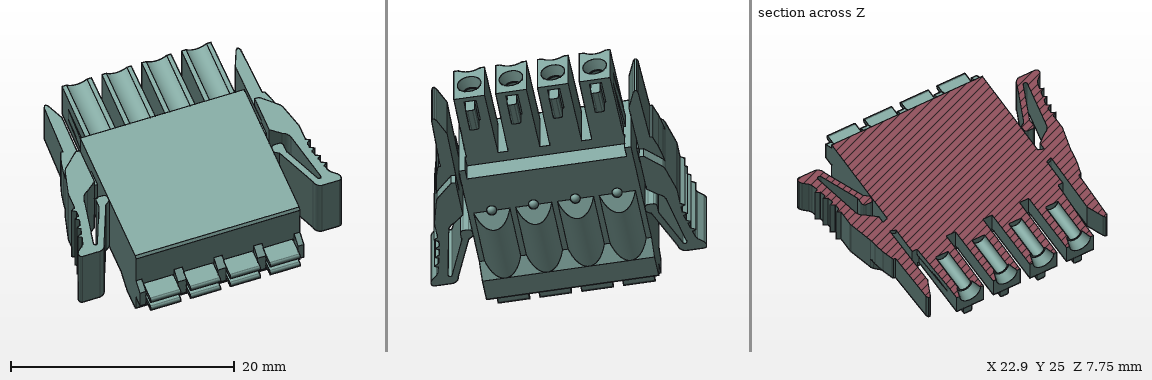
import cadquery as cq

total_length = 22.9
total_width = 25.04
total_height = 7.75

pitch = 3.8
contact_count = 4
contact_centres = [(i - (contact_count - 1) / 2) * pitch for i in range(contact_count)]

body_front = 6.62
body_back = 20.9
body_width = 15.65
body_floor = 0.9
back_edge_chamfer = 0.22
front_recess_width = 14.5
front_recess_depth = 1.0

socket_front_width = 2.8
socket_root_width = 2.9
socket_bottom = 2.8
socket_top = 6.9
groove_width = 1.95
groove_depth = 0.34
groove_radius = ((groove_width / 2) ** 2 + groove_depth ** 2) / (2 * groove_depth)
hole_axis_z = 4.73
hole_mouth_diameter = 2.15
hole_throat_diameter = 1.55
hole_bore_diameter = 1.25
hole_mouth_depth = 1.0
hole_depth = 5.0

key_front = 0.43
key_back = 2.63
key_width = 0.85
key_bottom = 1.42
key_round = 0.2
key_neck_width = 1.1
key_neck_height = 0.17

wedge_front = 1.4
wedge_start = contact_centres[-1] + socket_front_width / 2
wedge_peak = 7.33
wedge_inner = wedge_start - 0.2
wedge_bottom = 4.0
wedge_top = 5.52

ramp_run = 1.55
ledge_front = 17.05
funnel_front = 11.55
funnel_radius = 1.95
bump_x = 11.45
bump_radius = 0.45
bump_centre_z = 0.85

rib_reach = 1.02
root_overlap = back_edge_chamfer
rib_width = 0.8
outer_rib_width = 0.56
rib_bottom = 1.85
rib_low_top = 3.72
rib_high_top = 4.3
tab_width = 2.85
tab_thickness = 0.5
tab_nose_radius = 0.24
tab_levels = [2.17, 3.33]

latch_bottom = 0.95
arm_bottom = 2.05
arm_top = 6.65
lever_inner = 8.34
stub_bottom = 4.33
stub_top = 6.33
stub_root_front = 9.47
stub_root_back = 11.08
stub_taper = 0.2
ridge_height = 0.38
ridge_half_width = 0.23
ridge_feet = [(13.97, 11.02), (14.96, 11.07), (15.95, 11.24), (16.9, 11.5)]


def box(x0, x1, y0, y1, z0, z1):
    return cq.Workplane("XY").box(x1 - x0, y1 - y0, z1 - z0, centered=False).translate((x0, y0, z0))


def plate(outline, z0, z1):
    """Extrude a closed XY outline between two heights."""
    return cq.Workplane("XY").workplane(offset=z0).polyline(outline).close().extrude(z1 - z0)


def make_housing():
    half = body_width / 2
    profile = [
        (body_front, body_floor),
        (ledge_front, body_floor),
        (ledge_front + ramp_run, 0),
        (body_back - back_edge_chamfer, 0),
        (body_back, back_edge_chamfer),
        (body_back, total_height - back_edge_chamfer),
        (body_back - back_edge_chamfer, total_height),
        (body_front, total_height),
    ]
    housing = cq.Workplane("XZ").polyline(profile).close().extrude(half, both=True)
    recess = box(
        body_front, body_front + front_recess_depth,
        -front_recess_width / 2, front_recess_width / 2,
        body_floor, socket_bottom,
    )
    return housing.cut(recess)


def make_funnel(y):
    """Round wire funnel whose front end slopes back toward the underside."""
    cylinder = (
        cq.Workplane("YZ").workplane(offset=funnel_front)
        .center(y, funnel_radius).circle(funnel_radius)
        .extrude(ledge_front + ramp_run - funnel_front)
    )
    side = [
        (funnel_front, body_floor),
        (funnel_front + ramp_run, 0),
        (ledge_front + ramp_run, 0),
        (ledge_front + ramp_run, funnel_radius),
        (funnel_front, funnel_radius),
    ]
    envelope = (
        cq.Workplane("XZ", origin=(0, y, 0)).polyline(side).close()
        .extrude(funnel_radius, both=True)
    )
    bump = cq.Workplane("XY").sphere(bump_radius).translate((bump_x, y, bump_centre_z))
    return cylinder.intersect(envelope).union(bump)


def make_socket(y):
    front = socket_front_width / 2
    root = socket_root_width / 2
    root_x = body_front + front_recess_depth
    outline = [(0, y - front), (root_x, y - root), (root_x, y + root), (0, y + front)]
    socket = plate(outline, socket_bottom, socket_top)
    groove = (
        cq.Workplane("YZ").center(y, socket_top - groove_depth + groove_radius)
        .circle(groove_radius).extrude(body_front)
    )
    return socket.cut(groove)


def make_key(y):
    key = box(key_front, key_back, y - key_width / 2, y + key_width / 2, key_bottom, socket_bottom)
    key = key.edges("|X and <Z").fillet(key_round)
    neck_z = socket_bottom - key_neck_height
    neck_outline = [
        (y - key_width / 2, neck_z),
        (y + key_width / 2, neck_z),
        (y + key_neck_width / 2, socket_bottom),
        (y - key_neck_width / 2, socket_bottom),
    ]
    neck = (
        cq.Workplane("YZ").workplane(offset=key_front).polyline(neck_outline).close()
        .extrude(key_back - key_front)
    )
    return key.union(neck)


def make_contact_hole(y):
    """Tapered lead-in followed by a narrower blind bore, revolved about the contact axis."""
    half_section = [
        (0, 0),
        (0, hole_mouth_diameter / 2),
        (hole_mouth_depth, hole_throat_diameter / 2),
        (hole_mouth_depth, hole_bore_diameter / 2),
        (hole_depth, hole_bore_diameter / 2),
        (hole_depth, 0),
    ]
    hole = cq.Workplane("XY").polyline(half_section).close().revolve(360, (0, 0, 0), (1, 0, 0))
    return hole.translate((0, y, hole_axis_z))


def make_wedge():
    outline = [
        (wedge_front, wedge_start),
        (body_front, wedge_peak),
        (body_front, wedge_inner),
        (wedge_front, wedge_inner),
    ]
    return plate(outline, wedge_bottom, wedge_top)


def make_rib(y0, y1):
    rib_back = body_back + rib_reach
    profile = (
        cq.Workplane("XZ", origin=(0, y1, 0))
        .moveTo(body_back - root_overlap, rib_bottom)
        .lineTo(rib_back, rib_bottom)
        .lineTo(rib_back, rib_low_top)
        .lineTo(body_back, rib_high_top)
        .lineTo(body_back - root_overlap, rib_high_top)
        .close()
    )
    return profile.extrude(y1 - y0)


def make_tab(y, z):
    tab = box(
        body_back - root_overlap, total_length,
        y - tab_width / 2, y + tab_width / 2, z - tab_thickness / 2, z + tab_thickness / 2,
    )
    return tab.edges(">X and |Y").fillet(tab_nose_radius)


def make_latch():
    """Lever on the +Y side: locking arm, grip with ridges, and return spring."""
    tip_y = total_width / 2
    grip = (
        cq.Workplane("XY").workplane(offset=latch_bottom)
        .moveTo(7.9, lever_inner)
        .lineTo(11.62, lever_inner)
        .lineTo(12.4, 9.28)
        .threePointArc((12.62, 9.62), (13.05, 9.88))
        .lineTo(18.1, 10.84)
        .threePointArc((18.28, 10.73), (18.2, 10.5))
        .lineTo(14.4, 8.94)
        .lineTo(13.75, 8.94)
        .threePointArc((13.47, 8.86), (13.36, 8.66))
        .lineTo(13.36, 8.16)
        .threePointArc((13.44, 7.97), (13.6, 7.85))
        .lineTo(14.12, 7.85)
        .lineTo(14.42, 8.3)
        .lineTo(18.45, 9.97)
        .threePointArc((18.97, 10.25), (19.12, 10.6))
        .lineTo(19.12, 12.25)
        .threePointArc((19.03, 12.44), (18.82, tip_y))
        .lineTo(18.66, tip_y)
        .lineTo(18.4, 12.36)
        .lineTo(17.95, 11.86)
        .lineTo(17.7, 11.71)
        .lineTo(17.1, 11.55)
        .lineTo(14.9, 11.02)
        .lineTo(12.2, 11.02)
        .lineTo(12.02, 10.99)
        .lineTo(9.59, 10.38)
        .lineTo(9.35, 10.24)
        .lineTo(7.9, 8.75)
        .close()
        .extrude(total_height - latch_bottom)
    )
    arm_outline = [
        (1.47, 8.95), (1.27, 9.12), (1.3, 9.27), (1.54, 9.38), (6.7, 9.52), (6.7, 9.7), (6.82, 9.78),
        (7.9, 10.1), (8.96, 10.3), (9.59, 10.38), (9.59, lever_inner), (3.12, 8.26),
    ]
    latch = grip.union(plate(arm_outline, arm_bottom, arm_top))
    for x, foot in ridge_feet:
        ridge_outline = [
            (x - ridge_half_width, foot - ridge_height),
            (x - ridge_half_width, foot),
            (x, foot + ridge_height),
            (x + ridge_half_width, foot),
            (x + ridge_half_width, foot - ridge_height),
        ]
        latch = latch.union(plate(ridge_outline, latch_bottom, total_height))
    stub_outline = [
        (stub_root_front, body_width / 2),
        (stub_root_back, body_width / 2),
        (stub_root_back - stub_taper, lever_inner),
        (stub_root_front + stub_taper, lever_inner),
    ]
    return latch.union(plate(stub_outline, stub_bottom, stub_top))


result = make_housing()
for y in contact_centres:
    result = result.union(make_funnel(y)).union(make_socket(y)).union(make_key(y))
    for z in tab_levels:
        result = result.union(make_tab(y, z))

rib_centres = [(a + b) / 2 for a, b in zip(contact_centres, contact_centres[1:])]
for y in rib_centres:
    result = result.union(make_rib(y - rib_width / 2, y + rib_width / 2))

outer_rib = make_rib(body_width / 2 - outer_rib_width, body_width / 2)
for side_part in (outer_rib, make_wedge(), make_latch()):
    result = result.union(side_part).union(side_part.mirror("XZ"))

for y in contact_centres:
    result = result.cut(make_contact_hole(y))